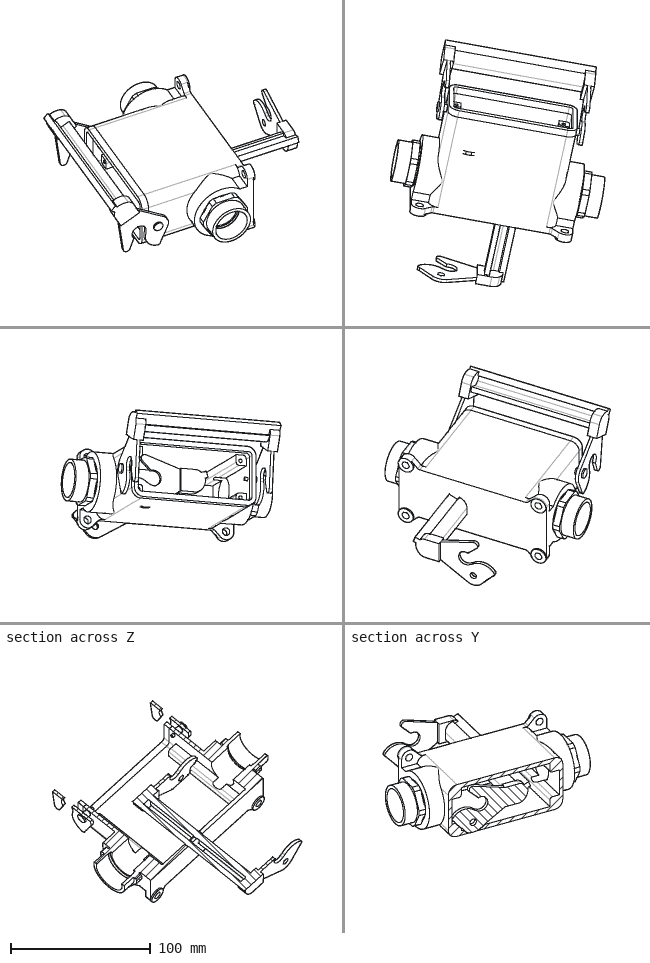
import cadquery as cq
import math


HOUSING_WIDTH = 93.0
HOUSING_HEIGHT = 43.4
HOUSING_CORNER = 7.0
REAR_Y = 25.5
MOUTH_Y = -57.3
RIM_DEPTH = 5.2
WINDOW_WIDTH = 86.7
WINDOW_HEIGHT = 35.5
WINDOW_CORNER = 2.7
REAR_WALL = 3.3
SEAM_Y = MOUTH_Y + RIM_DEPTH
INNER_REAR_Y = REAR_Y - REAR_WALL

POST_SIZE = 7.6
POST_CORNER = 2.2
POST_ROOT = 0.8
POST_FRONT_Y = -45.5
SCREW_INSET = 4.3
SCREW_DIAMETER = 2.5
SCREW_DEPTH = 10.0

SIDE_X = 58.8
FLANGE_FRONT_Y = 20.5
EAR_RADIUS = 6.0
EAR_HOLE = 5.5
EAR_X = SIDE_X - EAR_RADIUS
EAR_Z = 23.0
EAR_PAD_REAR_Y = 26.6
EAR_ROOT_FILLET = 2.2

BOSS_RADIUS = 21.6
BOSS_WEB_HEIGHT = 32.2
GLAND_END_X = 75.03
NUT_OUTER_X = 65.1
NUT_INNER_X = 59.8
TUBE_DIAMETER = 30.0
NECK_DIAMETER = 31.0
NUT_FLATS = 32.4
NUT_CORNER_DIAMETER = 35.4
MOUTH_BORE = 25.0
MOUTH_BORE_END_X = 62.3
INNER_BORE = 24.3
INNER_BORE_END_X = 60.7
WALL_BORE = 21.8

LEVER_LENGTH = 109.8
BLOCK_WIDTH = 7.5
LEG_OUTER = 52.3
LEG_THICKNESS = 2.5
PIVOT_HOLE = 4.8
PIVOT_ROUND = 8.5
BLOCK_START = 26.0
BLOCK_LOW = -5.3
BLOCK_HIGH = -21.8
LIP_TIP = (45.0, -21.3)
LIP_ANGLE = 19.5
LIP_THICKNESS = 4.7
LIP_WIDTH = 5.0
LIP_UNDERSIDE = 4.0
GRIP_UNDERSIDE = 8.5
GRIP_LOW = -7.6
GRIP_OUTER = 30.9
GRIP_INNER = 34.7

PIVOT_Y = -47.5
PIN_HEAD_DIAMETER = 7.0
PIN_HEAD_HEIGHT = 1.2
PIN_SHOULDER_DIAMETER = 5.2
PIN_TIP_DIAMETER = 2.5
PIN_TIP_LENGTH = 2.0

FRONT_LEVER_ANGLE = 65.0
REAR_LEVER_X = -26.3
REAR_LEVER_Z = -13.5

SIDES = (-1, 1)


def y_prism(width, height, corner, y_start, y_end):
    """Block along Y with rounded long edges, centred on the Y axis."""
    return (
        cq.Workplane("XZ", origin=(0, y_start, 0))
        .rect(width, height)
        .extrude(y_start - y_end)
        .edges("|Y")
        .fillet(corner)
    )


def y_cylinder(x, z, diameter, y_start, y_end):
    return (
        cq.Workplane("XZ", origin=(x, y_start, z))
        .circle(diameter / 2)
        .extrude(y_start - y_end)
    )


def x_cylinder(side, diameter, x_start, x_end, y=0.0):
    """Cylinder along X on one side of the part, between two distances from the middle."""
    return (
        cq.Workplane("YZ", origin=(side * x_start, y, 0))
        .circle(diameter / 2)
        .extrude(side * (x_end - x_start))
    )


def box_between(x0, x1, y0, y1, z0, z1):
    return cq.Workplane("XY").box(x1 - x0, y1 - y0, z1 - z0, centered=False).translate((x0, y0, z0))



def flange():
    """Rear plate with a rounded ear at each corner, sloping at 45 degrees to the long edges."""
    slope = EAR_RADIUS * math.sqrt(0.5)
    tangent_x = EAR_X - slope
    tangent_z = EAR_Z + slope
    edge_z = HOUSING_HEIGHT / 2
    root_x = tangent_x - (tangent_z - edge_z)

    upper = (
        cq.Workplane("XZ", origin=(0, REAR_Y, 0))
        .moveTo(-SIDE_X, 0)
        .lineTo(-SIDE_X, EAR_Z)
        .threePointArc((-EAR_X - slope, tangent_z), (-EAR_X, EAR_Z + EAR_RADIUS))
        .threePointArc(
            (-EAR_X + EAR_RADIUS * math.sin(math.pi / 8), EAR_Z + EAR_RADIUS * math.cos(math.pi / 8)),
            (-tangent_x, tangent_z),
        )
        .lineTo(-root_x, edge_z)
        .lineTo(0, edge_z)
        .lineTo(0, 0)
        .close()
        .extrude(REAR_Y - FLANGE_FRONT_Y)
    )
    middle_y = (REAR_Y + FLANGE_FRONT_Y) / 2
    root = cq.selectors.NearestToPointSelector((-root_x, middle_y, edge_z))
    quarter = upper.edges(root).fillet(EAR_ROOT_FILLET)
    half = quarter.union(quarter.mirror("YZ"))
    plate = half.union(half.mirror("XY"))
    for side in SIDES:
        for level in SIDES:
            plate = plate.union(
                y_cylinder(side * EAR_X, level * EAR_Z, 2 * EAR_RADIUS, FLANGE_FRONT_Y, EAR_PAD_REAR_Y)
            )
    return plate


def gland_boss(side):
    """Round boss on the side wall, joined to the flange by a flat web."""
    inner_x = HOUSING_WIDTH / 2 - HOUSING_CORNER
    boss = x_cylinder(side, 2 * BOSS_RADIUS, inner_x, SIDE_X)
    x_range = sorted((side * inner_x, side * SIDE_X))
    web = box_between(*x_range, 0, REAR_Y, -BOSS_WEB_HEIGHT / 2, BOSS_WEB_HEIGHT / 2)
    return boss.union(web)


def gland(side):
    """Tube, hexagon with turned corners, and neck."""
    hexagon = (
        cq.Workplane("YZ", origin=(side * NUT_INNER_X, 0, 0))
        .polygon(6, NUT_FLATS / math.cos(math.pi / 6))
        .extrude(side * (NUT_OUTER_X - NUT_INNER_X))
        .intersect(x_cylinder(side, NUT_CORNER_DIAMETER, NUT_INNER_X, NUT_OUTER_X))
    )
    tube = x_cylinder(side, TUBE_DIAMETER, NUT_INNER_X, GLAND_END_X)
    neck = x_cylinder(side, NECK_DIAMETER, SIDE_X, NUT_INNER_X)
    return hexagon.union(tube).union(neck)


def screw_post(side, level):
    """Square post in an inner corner, rounded on its free edge, with a blind screw hole."""
    wall_x = WINDOW_WIDTH / 2
    wall_z = WINDOW_HEIGHT / 2
    size = POST_SIZE + POST_ROOT
    post = (
        box_between(0, size, POST_FRONT_Y, REAR_Y - REAR_WALL / 2, 0, size)
        .edges("|Y and <X and <Z")
        .fillet(POST_CORNER)
        .translate((wall_x - POST_SIZE, 0, wall_z - POST_SIZE))
    )
    hole = y_cylinder(
        wall_x - SCREW_INSET,
        wall_z - SCREW_INSET,
        SCREW_DIAMETER,
        POST_FRONT_Y,
        POST_FRONT_Y + SCREW_DEPTH,
    )
    post = post.cut(hole)
    if side < 0:
        post = post.mirror("YZ")
    if level < 0:
        post = post.mirror("XY")
    return post


def pivot_pin(side):
    """Headed pin fixed in the side wall, passing through a lever leg."""
    leg_inner = LEG_OUTER - LEG_THICKNESS
    wall_inner = WINDOW_WIDTH / 2
    tip = x_cylinder(side, PIN_TIP_DIAMETER, wall_inner - PIN_TIP_LENGTH, leg_inner, PIVOT_Y)
    shoulder = x_cylinder(side, PIN_SHOULDER_DIAMETER, wall_inner, leg_inner, PIVOT_Y)
    shank = x_cylinder(side, PIVOT_HOLE, leg_inner, LEG_OUTER, PIVOT_Y)
    head = x_cylinder(side, PIN_HEAD_DIAMETER, LEG_OUTER, LEG_OUTER + PIN_HEAD_HEIGHT, PIVOT_Y)
    return tip.union(shoulder).union(shank).union(head)


def make_housing():
    body = y_prism(HOUSING_WIDTH, HOUSING_HEIGHT, HOUSING_CORNER, SEAM_Y, REAR_Y)
    body = body.union(flange())
    for side in SIDES:
        body = body.union(gland_boss(side))
        body = body.union(gland(side))

    body = body.cut(y_prism(WINDOW_WIDTH, WINDOW_HEIGHT, WINDOW_CORNER, SEAM_Y, INNER_REAR_Y))
    for side in SIDES:
        for level in SIDES:
            body = body.union(screw_post(side, level))
            body = body.cut(
                y_cylinder(side * EAR_X, level * EAR_Z, EAR_HOLE, FLANGE_FRONT_Y, EAR_PAD_REAR_Y)
            )
        body = body.cut(x_cylinder(side, WALL_BORE, 0, INNER_BORE_END_X))
        body = body.cut(x_cylinder(side, INNER_BORE, INNER_BORE_END_X, MOUTH_BORE_END_X))
        body = body.cut(x_cylinder(side, MOUTH_BORE, MOUTH_BORE_END_X, GLAND_END_X))
        body = body.union(pivot_pin(side))
    return body


def make_rim():
    """Rounded frame closing the front edge of the housing around its window."""
    outer = y_prism(HOUSING_WIDTH, HOUSING_HEIGHT, HOUSING_CORNER, MOUTH_Y, SEAM_Y)
    return outer.cut(y_prism(WINDOW_WIDTH, WINDOW_HEIGHT, WINDOW_CORNER, MOUTH_Y, SEAM_Y))



def pivot_round_point(angle):
    """Point on the rounded end about the pivot, at an angle in degrees."""
    turn = math.radians(angle)
    return (PIVOT_ROUND * math.cos(turn), PIVOT_ROUND * math.sin(turn))


def lever_leg():
    """Flat hooked leg with its pivot hole, starting at height 0."""
    return (
        cq.Workplane("XY")
        .moveTo(BLOCK_START, BLOCK_LOW)
        .lineTo(*pivot_round_point(60))
        .threePointArc(pivot_round_point(99), pivot_round_point(138))
        .lineTo(-15.6, -4.8)
        .threePointArc((-17.0, -6.6), (-16.3, -8.3))
        .threePointArc((-7.1, -13.0), (1.0, -10.0))
        .lineTo(3.2, -8.8)
        .threePointArc((11.6, -13.6), (4.2, -19.0))
        .lineTo(-2.8, -25.8)
        .threePointArc((-3.0, -28.9), (0.2, -30.0))
        .lineTo(BLOCK_START, BLOCK_HIGH)
        .close()
        .extrude(LEG_THICKNESS)
        .cut(cq.Workplane("XY").circle(PIVOT_HOLE / 2).extrude(LEG_THICKNESS))
    )


def lip_point(back, up):
    """Point measured from the tip corner of the lip, back along its underside and up through it."""
    slope = math.radians(LIP_ANGLE)
    return (
        LIP_TIP[0] - back * math.cos(slope) + up * math.sin(slope),
        LIP_TIP[1] + back * math.sin(slope) + up * math.cos(slope),
    )


def lever_block():
    """Thick end block between a leg and the handle, starting at height 0."""
    return (
        cq.Workplane("XY")
        .moveTo(BLOCK_START, BLOCK_LOW)
        .lineTo(36.4, BLOCK_LOW)
        .threePointArc((39.9, -6.1), (42.0, -7.8))
        .threePointArc((44.2, -12.0), (44.5, -16.5))
        .lineTo(*lip_point(LIP_UNDERSIDE, 0))
        .threePointArc((39.7, -21.1), (37.5, BLOCK_HIGH))
        .lineTo(BLOCK_START, BLOCK_HIGH)
        .close()
        .extrude(BLOCK_WIDTH)
    )


def lever_grip():
    """Curved finger grip running between the two blocks."""
    return (
        cq.Workplane("XY")
        .workplane(offset=-LEVER_LENGTH / 2 + BLOCK_WIDTH / 2)
        .moveTo(GRIP_OUTER, GRIP_LOW)
        .lineTo(GRIP_OUTER, -13.5)
        .threePointArc((32.5, -18.6), (37.0, -21.1))
        .lineTo(*lip_point(GRIP_UNDERSIDE, 0))
        .lineTo(*lip_point(LIP_UNDERSIDE, 0))
        .lineTo(*lip_point(LIP_WIDTH, LIP_THICKNESS / 2))
        .lineTo(37.5, -17.0)
        .threePointArc((35.5, -15.6), (GRIP_INNER, -13.1))
        .lineTo(GRIP_INNER, GRIP_LOW)
        .close()
        .extrude(LEVER_LENGTH - BLOCK_WIDTH)
    )


def lever_lip():
    """Tilted strip along the whole free edge of the handle."""
    corners = [
        lip_point(0, 0),
        lip_point(LIP_WIDTH, 0),
        lip_point(LIP_WIDTH, LIP_THICKNESS),
        lip_point(0, LIP_THICKNESS),
    ]
    return (
        cq.Workplane("XY")
        .workplane(offset=-LEVER_LENGTH / 2)
        .polyline(corners)
        .close()
        .extrude(LEVER_LENGTH)
    )


def make_lever(plane):
    """One lever, placed on a plane whose normal runs along its handle."""
    lever = lever_grip().union(lever_lip())
    end = lever_block().translate((0, 0, LEVER_LENGTH / 2 - BLOCK_WIDTH))
    end = end.union(lever_leg().translate((0, 0, LEG_OUTER - LEG_THICKNESS)))
    lever = lever.union(end).union(end.mirror("XY"))
    return lever.val().moved(cq.Location(plane))



lean = math.radians(FRONT_LEVER_ANGLE)
front_lever_plane = cq.Plane(
    origin=(0, PIVOT_Y, 0), xDir=(0, -math.cos(lean), math.sin(lean)), normal=(-1, 0, 0)
)
rear_lever_plane = cq.Plane(
    origin=(REAR_LEVER_X, REAR_Y, REAR_LEVER_Z), xDir=(1, 0, 0), normal=(0, 1, 0)
)
levers = [make_lever(plane) for plane in (front_lever_plane, rear_lever_plane)]

housing = make_housing().cut(cq.Workplane(levers[1]))
rim = make_rim()

result = cq.Compound.makeCompound([housing.val(), rim.val(), *levers])